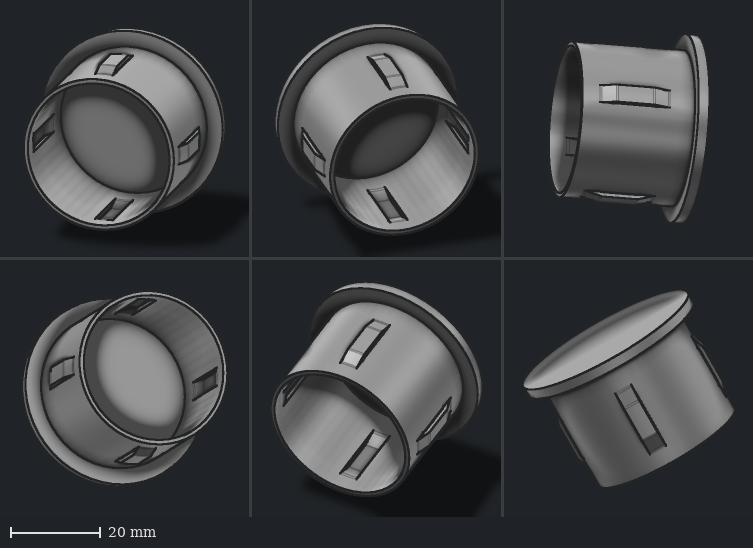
import cadquery as cq
import math

flange_radius = 21.2
flange_thickness = 2.5
total_length = 28.2
sleeve_radius = 17.5
wall_thickness = 1.0

rib_count = 4
rib_width = 4.05
rib_height = 1.1
rib_start = 4.0
rib_length = 16.03
rib_crest_length = 8.0
outer_bend_radius = 1.5

sleeve_length = total_length - flange_thickness
bore_radius = sleeve_radius - wall_thickness
rib_middle = rib_start + rib_length / 2

rib_end_length = (rib_length - rib_crest_length) / 2
bend_term = 4 * outer_bend_radius - rib_height
half_angle_tangent = (rib_end_length - math.sqrt(rib_end_length**2 - rib_height * bend_term)) / bend_term
ramp_angle = 2 * math.atan(half_angle_tangent)


def disc(radius, start, length):
    """Solid cylinder on the Y axis, from Y = start towards +Y."""
    return cq.Workplane("XZ", origin=(0, start, 0)).circle(radius).extrude(-length)


def rib_strip(base_radius, foot_bend_radius, crest_bend_radius):
    """Strip on the +Z side that bulges from base_radius by rib_height, solid for one wall below it."""
    inside_radius = base_radius - wall_thickness
    crest_radius = base_radius + rib_height

    def foot_point(angle, side):
        distance = rib_length / 2 - foot_bend_radius * math.sin(angle)
        return base_radius + foot_bend_radius * (1 - math.cos(angle)), rib_middle + side * distance

    def crest_point(angle, side):
        distance = rib_crest_length / 2 + crest_bend_radius * math.sin(angle)
        return crest_radius - crest_bend_radius * (1 - math.cos(angle)), rib_middle + side * distance

    ring = (
        cq.Workplane("XY")
        .moveTo(inside_radius, rib_start)
        .lineTo(*foot_point(0, -1))
        .threePointArc(foot_point(ramp_angle / 2, -1), foot_point(ramp_angle, -1))
        .lineTo(*crest_point(ramp_angle, -1))
        .threePointArc(crest_point(ramp_angle / 2, -1), crest_point(0, -1))
        .lineTo(*crest_point(0, 1))
        .threePointArc(crest_point(ramp_angle / 2, 1), crest_point(ramp_angle, 1))
        .lineTo(*foot_point(ramp_angle, 1))
        .threePointArc(foot_point(ramp_angle / 2, 1), foot_point(0, 1))
        .lineTo(inside_radius, rib_start + rib_length)
        .close()
        .revolve(360, (0, 0, 0), (0, 1, 0))
    )
    trim = cq.Workplane("XY").box(rib_width, total_length, flange_radius, centered=(True, False, False))
    return ring.intersect(trim)


flange = disc(flange_radius, sleeve_length, flange_thickness)
bore = disc(bore_radius, 0, sleeve_length)
result = disc(sleeve_radius, 0, sleeve_length).union(flange).cut(bore)

pad = rib_strip(sleeve_radius, outer_bend_radius, outer_bend_radius)
pocket = rib_strip(bore_radius, outer_bend_radius + wall_thickness, outer_bend_radius - wall_thickness)
for index in range(rib_count):
    angle = index * 360 / rib_count
    result = result.union(pad.rotate((0, 0, 0), (0, 1, 0), angle))
    result = result.cut(pocket.rotate((0, 0, 0), (0, 1, 0), angle))